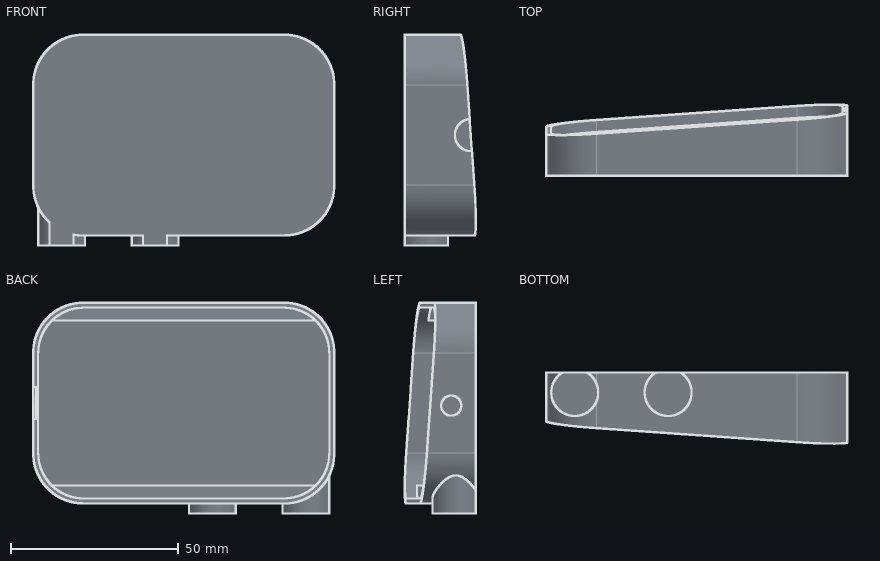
import cadquery as cq
import math

length = 90.0
height = 60.0
corner_radius = 15.0
wall = 1.5

back_angle = 4.0
back_depth_at_origin = 15.7
back_slope = math.tan(math.radians(back_angle))

ledge_width = 3.9
ledge_drop = 3.5

foot_radius = 7.0
foot_axis_y = 6.0
foot_drop = 3.0
foot_centers_x = (8.55, 36.45)

cable_hole_diameter = 6.0
cable_hole_y = 7.4
cable_hole_z = 29.25

notch_diameter = 9.6
notch_depth = 0.8
notch_z = height / 2


def back_depth(x, z):
    """Y of the sloping back plane above the point (x, z)."""
    return back_depth_at_origin + back_slope * (x - z)


stock_depth = back_depth(length, 0)


def rounded_plate(inset, front_y):
    """Rounded rectangle inset from the outline, extruded from front_y to the stock depth."""
    return (
        cq.Workplane("XY")
        .box(length - 2 * inset, stock_depth - front_y, height - 2 * inset, centered=(True, False, True))
        .edges("|Y")
        .fillet(corner_radius - inset)
        .translate((length / 2, front_y, height / 2))
    )


def space_behind(drop):
    """Everything behind the back plane after shifting that plane forward by drop."""
    normal = cq.Vector(-back_slope, 1, back_slope)
    origin = (length / 2, back_depth(length / 2, height / 2) - drop, height / 2)
    plane = cq.Plane(origin=origin, xDir=(1, back_slope, 0), normal=normal)
    return cq.Workplane(plane).rect(2 * length, 2 * length).extrude(length)


def foot(center_x):
    """Vertical round foot reaching up into the body, cut off at the front plane."""
    top_z = corner_radius
    cylinder = (
        cq.Workplane("XY", origin=(center_x, foot_axis_y, -foot_drop))
        .circle(foot_radius)
        .extrude(top_z + foot_drop)
    )
    behind_front = cq.Workplane("XY").box(3 * length, stock_depth, 3 * length, centered=(True, False, True))
    return cylinder.intersect(behind_front)


body = rounded_plate(0, 0)
for center_x in foot_centers_x:
    body = body.union(foot(center_x))
body = body.cut(space_behind(0))

inner_space = rounded_plate(wall, wall)
between_ledges = (
    cq.Workplane("XY")
    .box(length, stock_depth, height - 2 * (wall + ledge_width), centered=(False, False, True))
    .translate((0, 0, height / 2))
)
body = body.cut(inner_space.intersect(space_behind(ledge_drop)))
body = body.cut(inner_space.intersect(between_ledges))

cable_hole = (
    cq.Workplane("YZ", origin=(0, cable_hole_y, cable_hole_z))
    .circle(cable_hole_diameter / 2)
    .extrude(2 * wall)
)
body = body.cut(cable_hole)

finger_notch = (
    cq.Workplane("YZ", origin=(length - notch_depth, back_depth(length, notch_z), notch_z))
    .circle(notch_diameter / 2)
    .extrude(notch_depth)
)
result = body.cut(finger_notch)